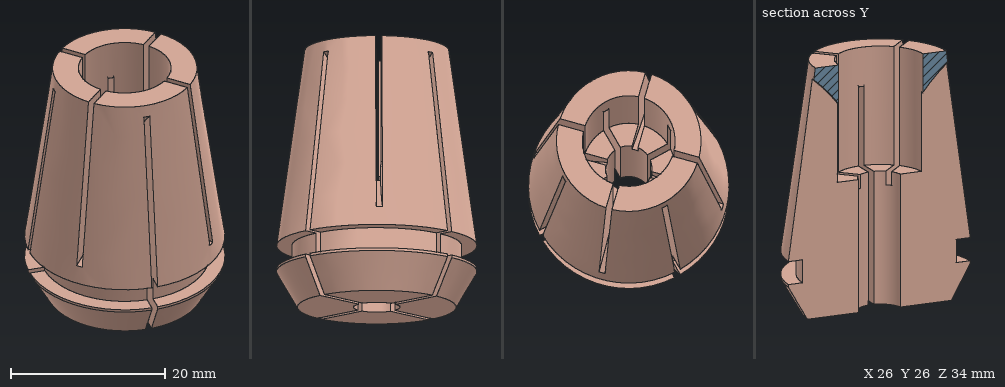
import cadquery as cq
import math

body_length = 34.0
major_radius = 13.0

nose_angle = 30.0
nose_height = 4.7
rim_height = 0.35
groove_radius = 11.0
groove_width = 3.1
rim_top = nose_height + rim_height
taper_start = rim_top + groove_width
nose_radius = major_radius - nose_height * math.tan(math.radians(nose_angle))

taper_angle = 8.0
taper_slope = math.tan(math.radians(taper_angle))
top_radius = major_radius - (body_length - taper_start) * taper_slope

clamp_radius = 3.0
clearance_radius = 6.0
clamp_length = 18.0

slot_width = 0.8
slots_per_set = 4
slot_pitch = 360.0 / slots_per_set
saw_radius = 25.0
lower_slot_end = 32.4
lower_slot_inner_end = 28.7
upper_slot_end = 10.6
upper_slot_inner_end = 16.15
overcut = 2.0


def taper_radius(height):
    """Outer radius of the long taper at a given height."""
    return major_radius - (height - taper_start) * taper_slope


def make_body():
    """Revolve the bored collet profile about Z."""
    return (
        cq.Workplane("XZ")
        .moveTo(clamp_radius, 0)
        .lineTo(nose_radius, 0)
        .lineTo(major_radius, nose_height)
        .lineTo(major_radius, rim_top)
        .lineTo(groove_radius, rim_top)
        .lineTo(groove_radius, taper_start)
        .lineTo(major_radius, taper_start)
        .lineTo(top_radius, body_length)
        .lineTo(clearance_radius, body_length)
        .lineTo(clearance_radius, clamp_length)
        .lineTo(clamp_radius, clamp_length)
        .close()
        .revolve(360, (0, 0, 0), (0, 1, 0))
    )


def make_slot(open_height, inner_radius, inner_end, outer_end):
    """Radial slot along +X, open at open_height, whose closed end is the arc left by a round saw blade."""
    outer_radius = taper_radius(outer_end)
    run = outer_radius - inner_radius
    rise = outer_end - inner_end
    chord = math.hypot(run, rise)
    center_offset = math.sqrt(saw_radius**2 - (chord / 2) ** 2)
    side = math.copysign(1.0, open_height - outer_end)
    center_x = (inner_radius + outer_radius) / 2 + center_offset * abs(rise) / chord
    center_z = (inner_end + outer_end) / 2 + side * center_offset * run / chord

    def end_point(x):
        return (x, center_z - side * math.sqrt(saw_radius**2 - (x - center_x) ** 2))

    start = clamp_radius / 2
    reach = major_radius + overcut
    return (
        cq.Workplane("XZ")
        .moveTo(start, open_height)
        .lineTo(reach, open_height)
        .lineTo(*end_point(reach))
        .threePointArc(end_point((start + reach) / 2), end_point(start))
        .close()
        .extrude(slot_width / 2, both=True)
    )


def cut_slots(body, slot, first_angle):
    """Cut one set of evenly spaced slots around Z."""
    for index in range(slots_per_set):
        angle = first_angle + index * slot_pitch
        body = body.cut(slot.rotate((0, 0, 0), (0, 0, 1), angle))
    return body


lower_slot = make_slot(-overcut, clearance_radius, lower_slot_inner_end, lower_slot_end)
upper_slot = make_slot(body_length + overcut, clamp_radius, upper_slot_inner_end, upper_slot_end)

result = make_body()
result = cut_slots(result, lower_slot, 0)
result = cut_slots(result, upper_slot, slot_pitch / 2)